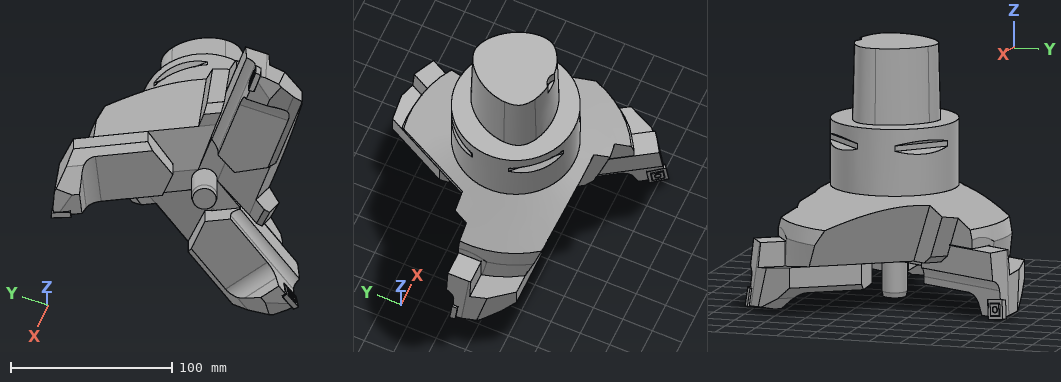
import cadquery as cq
import math

ARM_ANGLES = (180, -57, 63)
REACH = 119.2

SHANK_LENGTH = 48.0
SHANK_RADIUS = 27.4
SHANK_LOBE = 1.9
SHANK_TAPER = 1 / 40
LOBE_COUNT = 3
LOBE_PITCH = 360 / LOBE_COUNT
FIRST_LOBE_ANGLE = 90
STRETCH_SPANS = 8
LOBE_HALF_ANGLE = 33
KEYWAY_RADIUS = 6.5
KEYWAY_CENTRE_Y = -28.5
KEYWAY_DEPTH = 8.0

COLLAR_RADIUS = 80 / 2
COLLAR_BOTTOM = -42.2
SHOULDER_RADIUS = 71.8
SHOULDER_Z = -60.6
RIM_RADIUS = 74.5
RIM_Z = -70.3
BASE_RADIUS = 74.0
BASE_Z = -88.9
ARM_END = 73.4

SLOT_ANGLES = (45, 135, 225, 315)
SLOT_Z = -12.1
SLOT_FLOOR_RADIUS = 35.5
SLOT_FLOOR_HALF_HEIGHT = 1.7
SLOT_MOUTH_HALF_HEIGHT = 4.3

STUB_RADIUS = 16.0 / 2
STUB_END_Z = -113.0
STUB_CHAMFER_HEIGHT = 3.4
STUB_CHAMFER_WIDTH = 0.7

CHIP_Y = -6.1
WEB_Y = -15.8
FLANK_FOOT_Y = 35.7
FLANK_FOOT_Z = -84.5
FLANK_LEAN = math.tan(math.radians(18))
STEP_Z = -79.8
STEP_X = 51.7
STEP_LEAN = math.tan(math.radians(20.5))
STEP_FOOT_LEAN = math.tan(math.radians(51))
STEP_SKEW = math.tan(math.radians(27))

CARTRIDGE_TOP = -72.9
POCKET_CLEARANCE = 0.5
KEY_Y = 9.5
SEAT_LEAN = math.tan(math.radians(9))
POINT_X, POINT_Y = 18.2, 13.1
POINT_HALF_ANGLE = 60
UNDERSIDE_Z = -101.8
FOOT_Z = -114.7
RECESS_Y = -0.9
RECESS_RADIUS = 6.8
RECESS_TANGENT_Z = -97.0
BACK_CHAMFER_Z = -97.4
BACK_CHAMFER_SIZE = 7.8
FOOT_BACK_Y = 13.0
FOOT_FILLET_RADIUS = 10.0
FOOT_FILLET_X = 64.5
FOOT_FILLET_TURN = math.radians(68)
TIP_X = 89.2
TIP_LEAN = math.tan(math.radians(6.8))
TIP_EDGE_Y = 8.3
TIP_SIDE_TURN = math.tan(math.radians(11))
TIP_SIDE_LEAN = math.tan(math.radians(6))
CORNER_START = (77.8, FLANK_FOOT_Y)
CORNER_END = (89.2, 19.0)
SOLE_POINT = (94.0, 5.5, -113.4)
SOLE_RISE_OUT = 0.2
SOLE_RISE_BACK = 0.16

INSERT_SIDE = 12.6
INSERT_THICKNESS = 3.5
INSERT_RELIEF = 7
INSERT_CENTRE = (88.9, -1.5, -109.3)
INSERT_TURN = 7
INSERT_RAKE = math.radians(4)
INSERT_HOLE_DIAMETER = 4.0
PAD_SIDE = 8.3
PAD_HEIGHT = 0.5
PAD_WALL_ANGLE = 45


def half_space(point, normal):
    """Large box that starts at a plane and lies on the side its normal points to."""
    return cq.Workplane(cq.Plane(point, normal=normal)).rect(4 * REACH, 4 * REACH).extrude(2 * REACH)


def turned(shape, angle):
    """Copy of a shape turned about the Z axis."""
    return shape.rotate((0, 0, 0), (0, 0, 1), angle)


def seat_z(y):
    """Height of the sloping seat between body and cartridge."""
    return FLANK_FOOT_Z - SEAT_LEAN * (FLANK_FOOT_Y - y)


def inner_end_x(y):
    """Position of the pointed inner end of the cartridge."""
    return POINT_X + abs(y - POINT_Y) / math.tan(math.radians(POINT_HALF_ANGLE))


def step_x(z):
    """Position of the step on the chip face."""
    lean = STEP_LEAN if z > STEP_Z else STEP_FOOT_LEAN
    return STEP_X + lean * (z - STEP_Z)



def shank_section(radius, z):
    """Closed rounded-triangle wire of six smooth stretches."""
    def point(angle):
        theta = math.radians(angle)
        phase = LOBE_COUNT * math.radians(angle - FIRST_LOBE_ANGLE)
        tangent_distance = radius + SHANK_LOBE * math.cos(phase)
        slide = -LOBE_COUNT * SHANK_LOBE * math.sin(phase)
        x = tangent_distance * math.cos(theta) - slide * math.sin(theta)
        y = tangent_distance * math.sin(theta) + slide * math.cos(theta)
        return cq.Vector(x, y, z)

    def stretch(start, end):
        step = (end - start) / STRETCH_SPANS
        angles = [start + step * i for i in range(STRETCH_SPANS + 1)]
        ends = [cq.Vector(-math.sin(math.radians(a)), math.cos(math.radians(a)), 0) for a in (start, end)]
        return cq.Edge.makeSpline([point(a) for a in angles], tangents=ends)

    edges = []
    for i in range(LOBE_COUNT):
        lobe = FIRST_LOBE_ANGLE + LOBE_PITCH * i
        edges.append(stretch(lobe - LOBE_HALF_ANGLE, lobe + LOBE_HALF_ANGLE))
        edges.append(stretch(lobe + LOBE_HALF_ANGLE, lobe + LOBE_PITCH - LOBE_HALF_ANGLE))
    return cq.Wire.assembleEdges(edges)


def make_shank():
    base = shank_section(SHANK_RADIUS, 0)
    end = shank_section(SHANK_RADIUS - SHANK_TAPER * SHANK_LENGTH, SHANK_LENGTH)
    shank = cq.Workplane(cq.Solid.makeLoft([base, end], True))
    keyway = (
        cq.Workplane("XY", origin=(0, KEYWAY_CENTRE_Y, SHANK_LENGTH - KEYWAY_DEPTH))
        .circle(KEYWAY_RADIUS)
        .extrude(2 * KEYWAY_DEPTH)
    )
    return shank.cut(keyway)


def make_turned_blank():
    outline = [
        (0, 0),
        (COLLAR_RADIUS, 0),
        (COLLAR_RADIUS, COLLAR_BOTTOM),
        (SHOULDER_RADIUS, SHOULDER_Z),
        (RIM_RADIUS, RIM_Z),
        (BASE_RADIUS, BASE_Z),
        (0, BASE_Z),
    ]
    return cq.Workplane("XZ").polyline(outline).close().revolve(360, (0, 0), (0, 1))


def make_stub():
    """Round stub on the axis, rooted inside the body."""
    outline = [
        (0, BASE_Z + STUB_RADIUS),
        (STUB_RADIUS, BASE_Z + STUB_RADIUS),
        (STUB_RADIUS, STUB_END_Z + STUB_CHAMFER_HEIGHT),
        (STUB_RADIUS - STUB_CHAMFER_WIDTH, STUB_END_Z),
        (0, STUB_END_Z),
    ]
    return cq.Workplane("XZ").polyline(outline).close().revolve(360, (0, 0), (0, 1))


def gripper_slot():
    mouth_slope = (SLOT_MOUTH_HALF_HEIGHT - SLOT_FLOOR_HALF_HEIGHT) / (COLLAR_RADIUS - SLOT_FLOOR_RADIUS)
    outer = 2 * COLLAR_RADIUS - SLOT_FLOOR_RADIUS
    outer_half = SLOT_FLOOR_HALF_HEIGHT + mouth_slope * (outer - SLOT_FLOOR_RADIUS)
    outline = [
        (SLOT_FLOOR_RADIUS, SLOT_Z - SLOT_FLOOR_HALF_HEIGHT),
        (outer, SLOT_Z - outer_half),
        (outer, SLOT_Z + outer_half),
        (SLOT_FLOOR_RADIUS, SLOT_Z + SLOT_FLOOR_HALF_HEIGHT),
    ]
    return cq.Workplane("XZ").polyline(outline).close().extrude(COLLAR_RADIUS, both=True)


def flank_side():
    """Everything behind the leaning flank of an arm."""
    return half_space((0, FLANK_FOOT_Y, FLANK_FOOT_Z), (0, 1, -FLANK_LEAN))


def in_front_of(y):
    """Everything on the chip side of a plane along the arm."""
    return half_space((0, y, 0), (0, -1, 0))


def chip_step():
    """Slanted step that thins the arm from the web to the chip face."""
    outline = [
        (REACH, COLLAR_BOTTOM),
        (step_x(COLLAR_BOTTOM), COLLAR_BOTTOM),
        (STEP_X, STEP_Z),
        (step_x(BASE_Z), BASE_Z),
        (REACH, BASE_Z),
    ]
    wire = cq.Wire.makePolygon([cq.Vector(x, CHIP_Y, z) for x, z in outline], close=True)
    width = 2 * (WEB_Y - CHIP_Y)
    return cq.Workplane(cq.Solid.extrudeLinear(wire, [], cq.Vector(STEP_SKEW * width, width, 0)))


def cartridge_pocket():
    ceiling = CARTRIDGE_TOP + POCKET_CLEARANCE
    plan = [
        (inner_end_x(CHIP_Y), CHIP_Y),
        (REACH, CHIP_Y),
        (REACH, KEY_Y),
        (inner_end_x(KEY_Y), KEY_Y),
    ]
    return cq.Workplane("XY", origin=(0, 0, BASE_Z)).polyline(plan).close().extrude(ceiling - BASE_Z)


def under_seat():
    """Space below the sloping seat, level with its outer edge beyond the arm."""
    slope = half_space((0, KEY_Y, seat_z(KEY_Y)), (0, SEAT_LEAN, -1))
    return slope.intersect(half_space((0, 0, FLANK_FOOT_Z), (0, 0, -1)))


def make_body():
    body = make_turned_blank()
    for angle in SLOT_ANGLES:
        body = body.cut(turned(gripper_slot(), angle))
    for i, angle in enumerate(ARM_ANGLES):
        flank_neighbour = ARM_ANGLES[(i + 1) % len(ARM_ANGLES)]
        neighbour_turn = flank_neighbour - angle
        gap = flank_side().intersect(turned(in_front_of(WEB_Y), neighbour_turn))
        seat = under_seat().cut(in_front_of(CHIP_Y)).intersect(turned(in_front_of(CHIP_Y), neighbour_turn))
        arm_end = half_space((ARM_END, 0, 0), (1, 0, 0))
        for tool in (gap, seat, chip_step(), cartridge_pocket(), arm_end):
            body = body.cut(turned(tool, angle))
    return body.union(make_shank()).union(make_stub())



def cartridge_section():
    """Cross-section of the cartridge, run along the arm."""
    recess_top = RECESS_TANGENT_Z + math.sqrt(RECESS_RADIUS**2 - (RECESS_RADIUS + CHIP_Y - RECESS_Y) ** 2)
    chamfer_y = FLANK_FOOT_Y - BACK_CHAMFER_SIZE
    return (
        cq.Workplane("YZ")
        .moveTo(CHIP_Y, CARTRIDGE_TOP)
        .lineTo(KEY_Y, CARTRIDGE_TOP)
        .lineTo(KEY_Y, seat_z(KEY_Y))
        .lineTo(FLANK_FOOT_Y, seat_z(FLANK_FOOT_Y))
        .lineTo(FLANK_FOOT_Y, BACK_CHAMFER_Z)
        .lineTo(chamfer_y, BACK_CHAMFER_Z - BACK_CHAMFER_SIZE)
        .lineTo(FOOT_BACK_Y, FOOT_Z)
        .lineTo(RECESS_Y, FOOT_Z)
        .lineTo(RECESS_Y, RECESS_TANGENT_Z)
        .radiusArc((CHIP_Y, recess_top), -RECESS_RADIUS)
        .close()
        .extrude(REACH)
    )


def cartridge_plan():
    """Plan outline: pointed inner end, straight back and cut outer corner."""
    corner_slope = (CORNER_END[0] - CORNER_START[0]) / (CORNER_END[1] - CORNER_START[1])
    chip_end_x = CORNER_START[0] + corner_slope * (CHIP_Y - CORNER_START[1])
    outline = [
        (inner_end_x(CHIP_Y), CHIP_Y),
        (POINT_X, POINT_Y),
        (inner_end_x(FLANK_FOOT_Y), FLANK_FOOT_Y),
        CORNER_START,
        (chip_end_x, CHIP_Y),
    ]
    return cq.Workplane("XY", origin=(0, 0, FOOT_Z)).polyline(outline).close().extrude(CARTRIDGE_TOP - FOOT_Z)


def cartridge_profile():
    """Side profile: leaning outer face and a foot that drops below the underside."""
    centre_z = UNDERSIDE_Z - FOOT_FILLET_RADIUS

    def on_fillet(turn):
        return (
            FOOT_FILLET_X + FOOT_FILLET_RADIUS * math.sin(turn),
            centre_z + FOOT_FILLET_RADIUS * math.cos(turn),
        )

    fillet_end = on_fillet(FOOT_FILLET_TURN)
    foot_x = fillet_end[0] + (fillet_end[1] - FOOT_Z) / math.tan(FOOT_FILLET_TURN)
    return (
        cq.Workplane("XZ", origin=(0, REACH, 0))
        .moveTo(0, CARTRIDGE_TOP)
        .lineTo(0, UNDERSIDE_Z)
        .lineTo(FOOT_FILLET_X, UNDERSIDE_Z)
        .threePointArc(on_fillet(FOOT_FILLET_TURN / 2), fillet_end)
        .lineTo(foot_x, FOOT_Z)
        .lineTo(TIP_X + TIP_LEAN * (CARTRIDGE_TOP - FOOT_Z), FOOT_Z)
        .lineTo(TIP_X, CARTRIDGE_TOP)
        .close()
        .extrude(2 * REACH)
    )


def make_cartridge():
    cartridge = cartridge_section().intersect(cartridge_plan()).intersect(cartridge_profile())
    tip_side = half_space((TIP_X, TIP_EDGE_Y, CARTRIDGE_TOP), (1, TIP_SIDE_TURN, TIP_SIDE_LEAN))
    sole = half_space(SOLE_POINT, (SOLE_RISE_OUT, SOLE_RISE_BACK, -1))
    return cartridge.cut(tip_side).cut(sole).cut(seated(insert_blank()))



def square_frustum(side, height, wall_angle):
    """Square at Z = 0 that shrinks evenly up to the given height, which may be negative."""
    end_side = side - 2 * abs(height) * math.tan(math.radians(wall_angle))
    start = cq.Workplane("XY").rect(side, side)
    return start.workplane(offset=height).rect(end_side, end_side).loft(ruled=True)


def seated(shape):
    """Shape moved from the XY plane to the place of the insert, its face turned to the chip side."""
    normal = (0, -math.cos(INSERT_RAKE), math.sin(INSERT_RAKE))
    plane = cq.Plane(INSERT_CENTRE, xDir=(1, 0, 0), normal=normal).rotated((0, 0, INSERT_TURN))
    return cq.Workplane(shape.val().moved(cq.Location(plane)))


def insert_blank():
    """Plain square insert; its sides draw in toward the seat."""
    return square_frustum(INSERT_SIDE, -INSERT_THICKNESS, INSERT_RELIEF)


def make_insert():
    pad = square_frustum(PAD_SIDE, PAD_HEIGHT, PAD_WALL_ANGLE)
    hole = cq.Workplane("XY").circle(INSERT_HOLE_DIAMETER / 2).extrude(PAD_HEIGHT)
    return seated(insert_blank().union(pad).cut(hole))



body = make_body()
cartridge = make_cartridge()
insert = make_insert()
cartridges = [turned(cartridge, angle).val() for angle in ARM_ANGLES]
inserts = [turned(insert, angle).val() for angle in ARM_ANGLES]

result = cq.Compound.makeCompound([body.val(), *cartridges, *inserts])